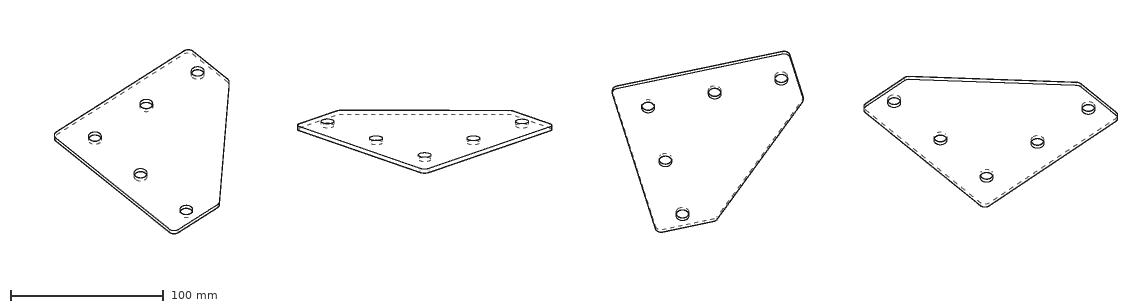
import cadquery as cq

side = 120.0
arm_width = 40.0
thickness = 3.0
corner_radius = 4.0
hole_diameter = 8.5
hole_pitch = 45.0
holes_per_arm = 3
hole_inset = arm_width / 2


def plate():
    """Square plate with one corner cut off at 45 degrees, corners rounded."""
    outline = [
        (0, 0),
        (side, 0),
        (side, arm_width),
        (arm_width, side),
        (0, side),
    ]
    blank = cq.Workplane("XY").polyline(outline).close().extrude(thickness)
    return blank.edges("|Z").fillet(corner_radius)


def hole_centres():
    """One corner hole shared by a row along X and a row along Y."""
    centres = [(hole_inset, hole_inset)]
    for step in range(1, holes_per_arm):
        along = hole_inset + step * hole_pitch
        centres.append((along, hole_inset))
        centres.append((hole_inset, along))
    return centres


def drill(body):
    """Cut the mounting holes right through the plate."""
    top_face = body.faces(">Z").workplane(origin=(0, 0, thickness))
    return top_face.pushPoints(hole_centres()).hole(hole_diameter)


result = drill(plate())